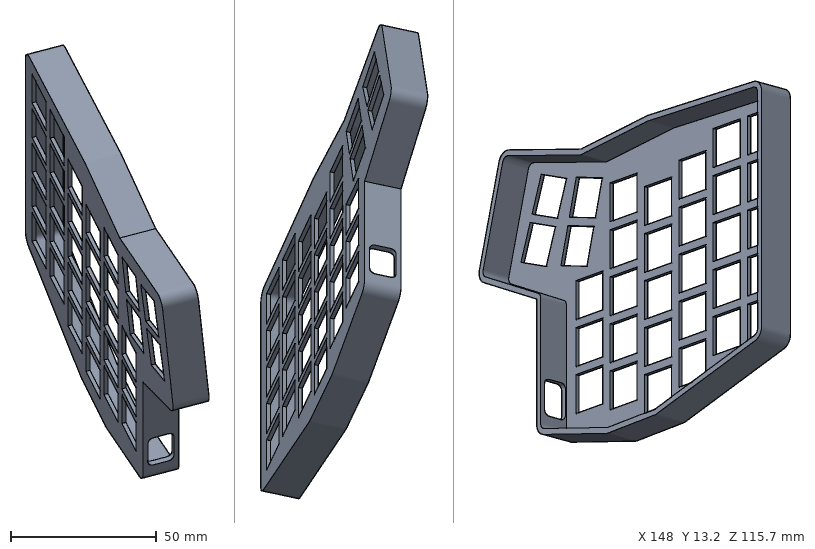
import cadquery as cq

depth = 13.2
plate_thickness = 1.5
wall_thickness = 2.0
corner_radius = 4.5
front_y = -depth / 2

left_x = -74.0
right_x = 43.8
outline = [
    (left_x, 50.3),
    (-14.4, 52.1),
    (20.6, 48.7),
    (62.5, 58.9),
    (74.9, 14.7),
    (right_x, 0.1),
    (right_x, -48.9),
    (6.8, -57.7),
    (-18.5, -57.3),
    (left_x, -42.8),
]

key_size = 14.0
key_pitch = 17.0
first_column_x = -60.3
last_column_x = 29.8
finger_columns = [(3.5, 5), (3.5, 5), (-3.4, 5), (-8.5, 5), (-2.5, 5), (-16.5, 3)]
thumb_columns = [(33.8, 28.3, 15), (53.6, 33.8, 20)]
thumb_keys = 2

port_height = 13.3
port_width = 9.5
port_radius = 2.0
port_z = -35.2


def turns_outward(index):
    """True where the clockwise outline has a convex corner."""
    x0, z0 = outline[index - 1]
    x1, z1 = outline[index]
    x2, z2 = outline[(index + 1) % len(outline)]
    return (x1 - x0) * (z2 - z1) - (z1 - z0) * (x2 - x1) < 0


def outer_block():
    """Solid outline over the full depth, with its convex corners rounded."""
    block = cq.Workplane("XZ", origin=(0, front_y, 0)).polyline(outline).close().extrude(-depth)
    for index, (x, z) in enumerate(outline):
        if turns_outward(index):
            corner = cq.selectors.NearestToPointSelector((x, 0, z))
            block = block.edges("|Y").edges(corner).fillet(corner_radius)
    return block


def cavity(block):
    """Space inside the wall, from the plate to the open back."""
    inside = block.faces("<Y").wires().toPending().offset2D(-wall_thickness).extrude(-depth, combine=False)
    return inside.translate((0, plate_thickness, 0))


def key_column(x, z, count, lean=0):
    """Cutters for a column of key openings centred on (x, z), its top tilted to -X by lean."""
    cutters = (
        cq.Workplane("XZ")
        .rarray(key_pitch, key_pitch, 1, count)
        .rect(key_size, key_size)
        .extrude(depth, both=True)
    )
    return cutters.rotate((0, 0, 0), (0, 1, 0), -lean).translate((x, 0, z))


def port():
    """Cutter for the cable opening in the right wall."""
    return (
        cq.Workplane("YZ", origin=(right_x, 0, port_z))
        .rect(port_width, port_height)
        .extrude(2 * wall_thickness, both=True)
        .edges("|X")
        .fillet(port_radius)
    )


block = outer_block()
result = block.cut(cavity(block))

column_spacing = (last_column_x - first_column_x) / (len(finger_columns) - 1)
for number, (z, count) in enumerate(finger_columns):
    result = result.cut(key_column(first_column_x + number * column_spacing, z, count))
for x, z, lean in thumb_columns:
    result = result.cut(key_column(x, z, thumb_keys, lean))

result = result.cut(port())